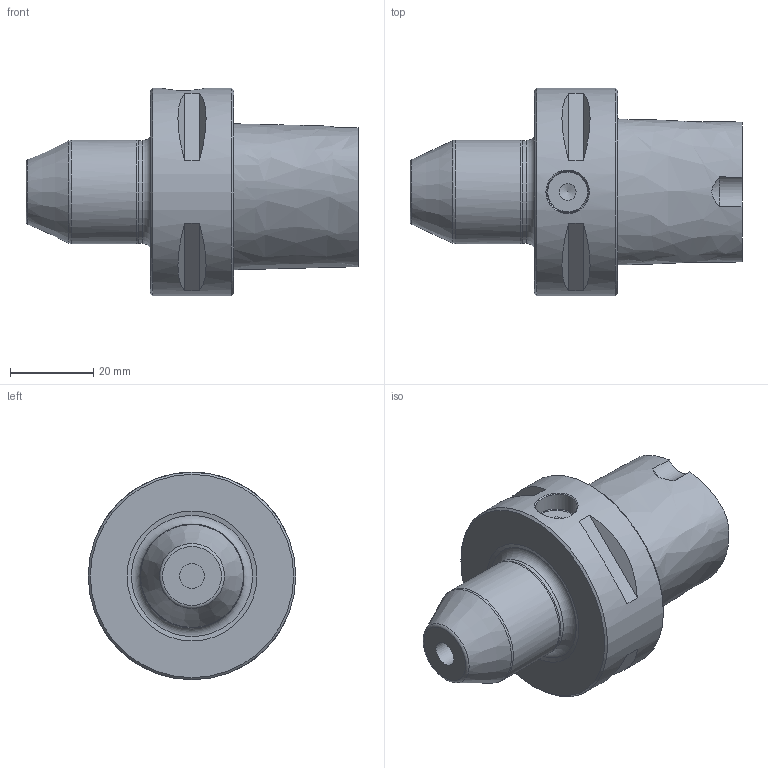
import cadquery as cq
import math

flange_radius = 25.0
flange_length = 20.0
flange_chamfer = 0.5

nose_length = 30.0
nose_radius = 12.5
nose_tip_radius = 7.6
nose_cone_length = 10.6
nose_tip_fillet = 0.8
nose_cone_fillet = 1.2

relief_radius = 12.4
relief_length = 3.4
relief_lead_in = 0.5
relief_fillet = 2.2
relief_depth = 0.2
relief_outer_radius = 15.65

bore_diameter = 6.0
bore_depth = 36.0

shank_length = 30.0
shank_mean_radius = 17.6
shank_lobe_height = 1.15
shank_taper = 1 / 40
shank_spline_points = 72

groove_count = 4
groove_first_angle = 45.0
groove_floor_distance = 22.2
groove_floor_width = 3.55
groove_half_angle = 30.0

chip_hole_diameter = 10.0
chip_hole_floor_diameter = 9.6
chip_hole_rim_chamfer = 0.25
chip_hole_depth = 5.0
chip_hole_offset = 12.0
center_mark_diameter = 4.0
center_mark_angle = 140.0

keyway_width = 7.4
keyway_length = 5.5
keyway_radius = 4.5
keyway_tip_angle = 100.0

flange_front = -flange_length
tip_x = flange_front - nose_length
groove_x = -flange_length / 2


def nose_and_flange():
    """Turned body: rounded cone, cylinder, undercut at the flange and the chamfered flange."""
    relief_bottom_x = flange_front + relief_depth
    arc_start_x = relief_bottom_x - relief_fillet
    relief_start_x = flange_front - relief_length
    arc_center_r = relief_radius + relief_fillet
    diagonal = relief_fillet * math.sqrt(0.5)
    profile = (
        cq.Workplane("XY")
        .moveTo(tip_x, 0)
        .lineTo(tip_x, nose_tip_radius)
        .lineTo(tip_x + nose_cone_length, nose_radius)
        .lineTo(relief_start_x, nose_radius)
        .lineTo(relief_start_x + relief_lead_in, relief_radius)
        .lineTo(arc_start_x, relief_radius)
        .threePointArc(
            (arc_start_x + diagonal, arc_center_r - diagonal),
            (relief_bottom_x, arc_center_r),
        )
        .lineTo(flange_front, relief_outer_radius)
        .lineTo(flange_front, flange_radius - flange_chamfer)
        .lineTo(flange_front + flange_chamfer, flange_radius)
        .lineTo(-flange_chamfer, flange_radius)
        .lineTo(0, flange_radius - flange_chamfer)
        .lineTo(0, 0)
        .close()
    )
    body = profile.revolve(360, (0, 0, 0), (1, 0, 0))
    body = round_circle_at(body, tip_x, nose_tip_fillet)
    return round_circle_at(body, tip_x + nose_cone_length, nose_cone_fillet)


def round_circle_at(body, x, radius):
    """Fillet the circular edge centred on the axis at the given X."""
    return body.edges(cq.selectors.NearestToPointSelector((x, 0, 0))).fillet(radius)


def shank_outline_point(angle, mean_radius):
    """Point (Y, Z) of the three-lobed curve of constant width whose first lobe points to -Z."""
    reach = mean_radius + shank_lobe_height * math.cos(3 * angle)
    slope = -3 * shank_lobe_height * math.sin(3 * angle)
    outward = reach * math.cos(angle) - slope * math.sin(angle)
    sideways = reach * math.sin(angle) + slope * math.cos(angle)
    return sideways, -outward


def shank_outline(x, mean_radius):
    """Closed smooth outline of the shank in the plane at X."""
    angles = [2 * math.pi * i / shank_spline_points for i in range(shank_spline_points)]
    points = [cq.Vector(x, *shank_outline_point(angle, mean_radius)) for angle in angles]
    return cq.Wire.assembleEdges([cq.Edge.makeSpline(points, periodic=True)])


def polygon_shank():
    """Tapered polygon shank lofted between its two end outlines."""
    large = shank_outline(0, shank_mean_radius)
    small = shank_outline(shank_length, shank_mean_radius - shank_taper * shank_length)
    return cq.Workplane(cq.Solid.makeLoft([large, small], True))


def bore_cutter():
    """Blind axial bore from the tip of the nose."""
    return cq.Workplane("YZ", origin=(tip_x, 0, 0)).circle(bore_diameter / 2).extrude(bore_depth)


def groove_cutter(angle):
    """Trapezoidal gripper groove cut as a chord of the flange, turned about X by the given angle."""
    rise = flange_radius - groove_floor_distance
    half_floor = groove_floor_width / 2
    half_top = half_floor + rise * math.tan(math.radians(groove_half_angle))
    section = [
        (groove_x - half_floor, groove_floor_distance),
        (groove_x + half_floor, groove_floor_distance),
        (groove_x + half_top, flange_radius),
        (groove_x - half_top, flange_radius),
    ]
    cutter = cq.Workplane("XZ").polyline(section).close().extrude(flange_radius, both=True)
    return cutter.rotate((0, 0, 0), (1, 0, 0), angle)


def chip_hole_cutter():
    """Flat-bottomed radial hole in the flange with a bevelled floor corner and a conical centre mark."""
    floor_z = flange_radius - chip_hole_depth
    hole_radius = chip_hole_diameter / 2
    floor_radius = chip_hole_floor_diameter / 2
    mark_radius = center_mark_diameter / 2
    mark_depth = mark_radius / math.tan(math.radians(center_mark_angle / 2))
    section = [
        (0, floor_z - mark_depth),
        (mark_radius, floor_z),
        (floor_radius, floor_z),
        (hole_radius, floor_z + hole_radius - floor_radius),
        (hole_radius, flange_radius),
        (0, flange_radius),
    ]
    cutter = cq.Workplane("XZ").polyline(section).close().revolve(360, (0, 0, 0), (0, 1, 0))
    return cutter.translate((-chip_hole_offset, 0, 0))


def chamfer_chip_hole_rim(body):
    """Break the edge where the chip hole meets the round flange."""
    rim_point = (-chip_hole_offset, 0, flange_radius)
    rim = cq.selectors.NearestToPointSelector(rim_point)
    return body.edges(rim).chamfer(chip_hole_rim_chamfer)


def keyway_cutter():
    """Round-bottomed keyway with a conical inner end, open at the end of the shank."""
    start_x = shank_length - keyway_length
    tip_length = keyway_radius / math.tan(math.radians(keyway_tip_angle / 2))
    small_mean_radius = shank_mean_radius - shank_taper * shank_length
    edge_z = shank_outline_point(math.pi, small_mean_radius)[1]
    axis_z = edge_z + math.sqrt(keyway_radius**2 - (keyway_width / 2) ** 2)
    section = [
        (start_x - tip_length, axis_z),
        (start_x, axis_z - keyway_radius),
        (shank_length, axis_z - keyway_radius),
        (shank_length, axis_z),
    ]
    return cq.Workplane("XZ").polyline(section).close().revolve(360, (0, axis_z, 0), (1, axis_z, 0))


result = nose_and_flange().union(polygon_shank())
result = chamfer_chip_hole_rim(result.cut(chip_hole_cutter()))
result = result.cut(bore_cutter()).cut(keyway_cutter())
for index in range(groove_count):
    result = result.cut(groove_cutter(groove_first_angle + index * 360 / groove_count))